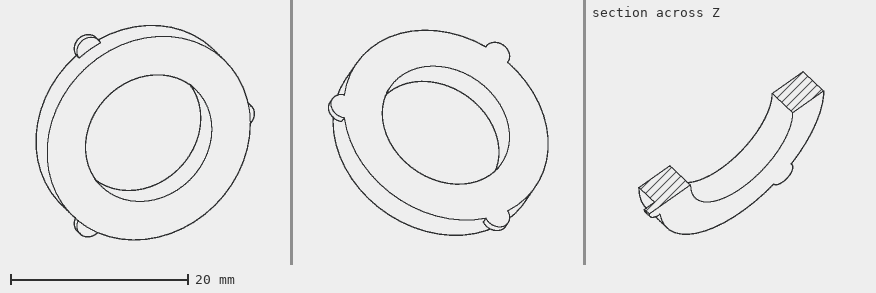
import cadquery as cq

ring_diameter = 24.52
bore_diameter = 15.23
ring_thickness = 3.57

width_across_lug = 26.03
lug_count = 3
lug_thickness = 0.89
lug_radius = width_across_lug - ring_diameter
lug_pitch_radius = ring_diameter / 2


def make_ring_blank():
    return cq.Workplane("YZ").circle(ring_diameter / 2).extrude(ring_thickness)


def make_lugs():
    return (
        cq.Workplane("YZ")
        .polarArray(lug_pitch_radius, 0, 360, lug_count)
        .circle(lug_radius)
        .extrude(lug_thickness)
    )


def make_bore():
    return cq.Workplane("YZ").circle(bore_diameter / 2).extrude(ring_thickness)


result = make_ring_blank().union(make_lugs()).cut(make_bore())